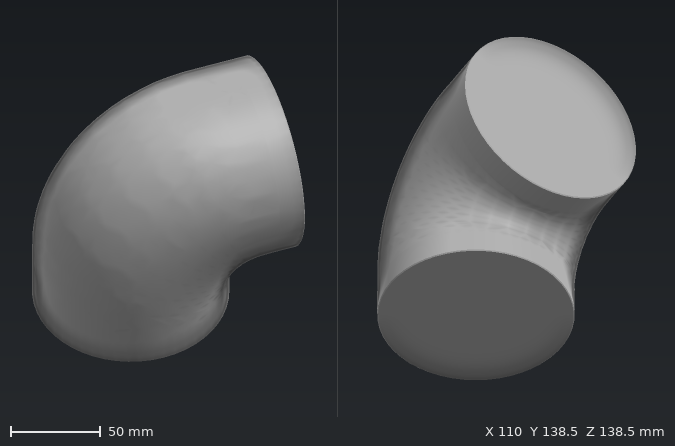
import cadquery as cq
import math

overall_length = 138.5
pipe_diameter = 110.0
collar_length = 15.0
outer_corner_radius = 99.7
rim_chamfer = 0.5
bend_steps = 9

pipe_radius = pipe_diameter / 2
outer_reach = overall_length - collar_length
throat_radius = outer_reach - pipe_diameter
axis_radius = outer_reach - pipe_radius
corner_offset = outer_reach - outer_corner_radius


def outer_distance(angle):
    """Distance from the bend pivot to the outer wall, a square corner rounded by an arc."""
    straight_angle = math.atan2(corner_offset, outer_reach)
    nearest_end = min(angle, math.pi / 2 - angle)
    if nearest_end <= straight_angle:
        return outer_reach / math.cos(nearest_end)
    along = corner_offset * (math.cos(angle) + math.sin(angle))
    across = corner_offset * (math.cos(angle) - math.sin(angle))
    return along + math.sqrt(outer_corner_radius**2 - across**2)


def bend_section(angle):
    """Elliptical section in the radial plane at this angle; its width stays the pipe diameter."""
    outward = cq.Vector(0, -math.cos(angle), math.sin(angle))
    pivot = cq.Vector(0, axis_radius, collar_length)
    outer = outer_distance(angle)
    center = pivot + outward * ((throat_radius + outer) / 2)
    plane = cq.Plane(
        origin=center.toTuple(),
        xDir=outward.toTuple(),
        normal=(0, math.sin(angle), math.cos(angle)),
    )
    half_depth = (outer - throat_radius) / 2
    return cq.Workplane(plane).ellipse(half_depth, pipe_radius).wires().val()


lower_collar = (
    cq.Workplane("XY").circle(pipe_radius).extrude(collar_length).faces("<Z").chamfer(rim_chamfer)
)
upper_collar = (
    cq.Workplane("XZ", origin=(0, axis_radius, collar_length + axis_radius))
    .circle(pipe_radius)
    .extrude(-collar_length)
    .faces(">Y")
    .chamfer(rim_chamfer)
)

sections = [bend_section(math.pi / 2 * step / bend_steps) for step in range(bend_steps + 1)]
bend = cq.Workplane(cq.Solid.makeLoft(sections))

result = bend.union(lower_collar).union(upper_collar)